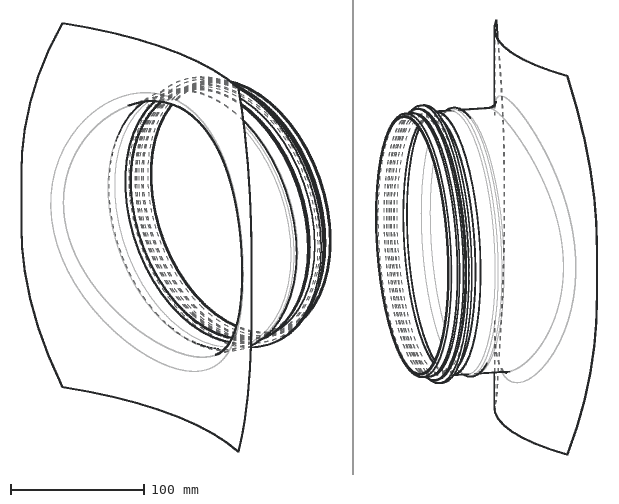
import cadquery as cq
import math


sheet = 0.5
saddle_radius = 250.0
plate_width = 250.0
plate_height = 292.0
plate_end_width = 191.0
side_flat_length = 41.0
saddle_depth = 58.5
block_width = 277.5

tube_radius = 198.9 / 2
mouth_y = 74.5
flare_radius = 8.8
flare_top_y = 23.5

neck_radius = 194.2 / 2
hem_length = 6.7
hem_rounding = 2.0
neck_end = 21.3
shoulder_end = 24.8

bead_start = 36.0
bead_fillet_length = 2.0
bead_fillet_rise = 1.2
bead_crest_length = 3.0

seal_base_radius = 195.3 / 2
seal_body_radius = 196.8 / 2
small_lip_radius = 204.5 / 2
small_lip_root = 8.5
small_lip_start = 10.5
small_lip_end = 12.0
large_lip_radius = 209.5 / 2
large_lip_start = 14.0
large_lip_end = 16.4


def flared_core(core_radius, duct_radius, rounding):
    """Solid plug standing on a duct segment, with the corner between them rounded."""
    duct_axis_y = -saddle_radius
    duct = (
        cq.Workplane("XY", origin=(0, duct_axis_y, -plate_height / 2))
        .circle(duct_radius)
        .extrude(plate_height)
    )
    segment = cq.Workplane("XY").box(block_width, 2 * saddle_depth, plate_height)
    plug = (
        cq.Workplane("XZ", origin=(0, flare_top_y, 0))
        .circle(core_radius)
        .extrude(flare_top_y + saddle_depth / 2 + sheet)
    )
    body = duct.intersect(segment).union(plug)
    seam = [
        edge for edge in body.edges().vals()
        if math.hypot(edge.startPoint().x, edge.startPoint().z) < core_radius + sheet
        and edge.BoundingBox().ymin < -sheet
        and edge.BoundingBox().ylen < saddle_depth / 2
    ]
    return body.newObject(seam).fillet(rounding)


def plate_outline():
    """Prism that trims the plate: straight ends, and sides that curve in from a straight middle."""
    half_width = plate_width / 2
    half_end = plate_end_width / 2
    half_height = plate_height / 2
    half_flat = side_flat_length / 2
    inset = half_width - half_end
    rise = half_height - half_flat
    side_arc_radius = (inset**2 + rise**2) / (2 * inset)
    half_sweep = math.asin(rise / side_arc_radius) / 2
    arc_middle_x = half_width - side_arc_radius * (1 - math.cos(half_sweep))
    arc_middle_z = half_flat + side_arc_radius * math.sin(half_sweep)
    half = (
        cq.Workplane("XZ", origin=(0, flare_top_y, 0))
        .moveTo(0, -half_height)
        .lineTo(0, half_height)
        .lineTo(half_end, half_height)
        .threePointArc((arc_middle_x, arc_middle_z), (half_width, half_flat))
        .lineTo(half_width, -half_flat)
        .threePointArc((arc_middle_x, -arc_middle_z), (half_end, -half_height))
        .close()
        .extrude(flare_top_y + saddle_depth)
    )
    return half.union(half.mirror("YZ"))


def make_saddle():
    outside = flared_core(tube_radius, saddle_radius, flare_radius)
    inside = flared_core(tube_radius - sheet, saddle_radius - sheet, flare_radius + sheet)
    return outside.cut(inside).intersect(plate_outline())


def make_neck():
    """Tube wall from the folded mouth down to the flare, with a solid bead around it."""
    bore_radius = tube_radius - sheet
    crest_start = bead_start + bead_fillet_length
    crest_end = crest_start + bead_crest_length
    bead_end = crest_end + bead_fillet_length
    crest_root_radius = tube_radius + bead_fillet_rise
    return (
        cq.Workplane("XY")
        .moveTo(neck_radius - sheet, mouth_y)
        .lineTo(tube_radius - hem_rounding, mouth_y)
        .tangentArcPoint((tube_radius, mouth_y - hem_rounding), relative=False)
        .lineTo(tube_radius, mouth_y - hem_length)
        .lineTo(bore_radius, mouth_y - hem_length)
        .lineTo(bore_radius, mouth_y - hem_rounding)
        .lineTo(tube_radius - hem_rounding, mouth_y - sheet)
        .lineTo(neck_radius, mouth_y - sheet)
        .lineTo(neck_radius, mouth_y - neck_end)
        .lineTo(tube_radius, mouth_y - shoulder_end)
        .lineTo(tube_radius, mouth_y - bead_start)
        .tangentArcPoint((crest_root_radius, mouth_y - crest_start), relative=False)
        .tangentArcPoint((crest_root_radius, mouth_y - crest_end), relative=False)
        .tangentArcPoint((tube_radius, mouth_y - bead_end), relative=False)
        .lineTo(tube_radius, flare_top_y)
        .lineTo(bore_radius, flare_top_y)
        .lineTo(bore_radius, mouth_y - shoulder_end)
        .lineTo(neck_radius - sheet, mouth_y - neck_end)
        .close()
        .revolve(360, (0, 0, 0), (0, 1, 0))
    )


def make_collar():
    return make_neck().union(make_saddle())


def make_seal():
    """Ring on the reduced neck, gripped under the folded mouth, with two outward lips."""
    profile = [
        (neck_radius, sheet),
        (tube_radius - hem_rounding, sheet),
        (tube_radius - sheet, hem_rounding),
        (tube_radius - sheet, small_lip_root),
        (small_lip_radius, small_lip_start),
        (small_lip_radius, small_lip_end),
        (seal_body_radius, small_lip_end),
        (seal_body_radius, large_lip_start),
        (large_lip_radius, large_lip_start),
        (large_lip_radius, large_lip_end),
        (seal_base_radius, large_lip_end),
        (seal_base_radius, neck_end),
        (neck_radius, neck_end),
    ]
    return (
        cq.Workplane("XY")
        .polyline([(radius, mouth_y - distance) for radius, distance in profile])
        .close()
        .revolve(360, (0, 0, 0), (0, 1, 0))
    )


collar = make_collar()
seal = make_seal()
result = cq.Compound.makeCompound([collar.val(), seal.val()])